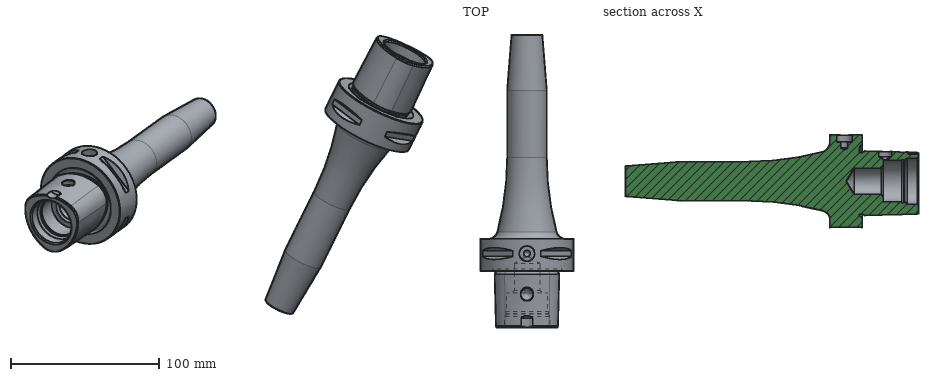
import cadquery as cq
import math


total_length = 198.0
shank_length = 38.0
nose_length = total_length - shank_length

flange_radius = 31.5
flange_length = 22.0
flange_chamfer = 0.4

tip_radius = 10.5
tip_chamfer = 0.4
tip_length = 37.6
neck_radius = 13.5
neck_length = 45.3
flare_end_radius = 21.4
flare_fillet = 6.3

polygon_width = 44.0
flat_arc_radius = 30.5
corner_arc_radius = polygon_width - flat_arc_radius
arc_center_offset = 9.9
shank_taper = math.degrees(math.atan(1 / 40))
shank_end_chamfer = (1.2, 0.5)
root_length = 1.8
root_inset = 1.0

relief_radius = 24.2
relief_depth = 1.8

mouth_radius = 16.5
entry_radius = 15.5
entry_chamfer = mouth_radius - entry_radius
entry_depth = 7.7
bore_radius = 13.9
bore_depth = 23.8
groove_radius = 14.5
groove_start = 9.9
groove_end = 11.3
screw_hole_radius = 8.7
screw_hole_chamfer = 1.5
screw_hole_depth = 43.5
drill_half_angle = math.radians(59)

slot_distance = 12.0
slot_floor_width = 3.8
slot_floor_height = 28.0
slot_flank_angle = math.radians(31)
slot_angles = (45, 135, 225, 315)
pilot_radius = 5.1
pilot_depth = 5.0
pilot_hole_radius = 2.2
pilot_hole_depth = 4.0

shank_hole_radius = 4.2
shank_hole_chamfer = 0.4
shank_hole_distance = 22.5
shank_hole_mouth_height = 20.2
shank_hole_floor_height = 16.6
notch_radius = 6.5
notch_floor_height = 18.2
notch_length = 6.5


def drill_tip(radius):
    """Height of the conical end left by a drill."""
    return radius / math.tan(drill_half_angle)


def polar(radius, degrees):
    angle = math.radians(degrees)
    return radius * math.cos(angle), radius * math.sin(angle)


def turned(points):
    """Solid of revolution about Y from (radius, y) points."""
    return cq.Workplane("XY").polyline(points).close().revolve(360, (0, 0, 0), (0, 1, 0))


def drill_from_top(radius, y, floor_z, top_z):
    """Vertical drilled hole with a conical bottom, as a solid to cut."""
    profile = [
        (0, floor_z - drill_tip(radius)),
        (radius, floor_z),
        (radius, top_z),
        (0, top_z),
    ]
    cutter = cq.Workplane("XZ").polyline(profile).close().revolve(360, (0, 0, 0), (0, 1, 0))
    return cutter.translate((0, y, 0))


def nose_and_flange():
    tip_line_y = nose_length - tip_length
    flare_start_y = tip_line_y - neck_length
    body = (
        cq.Workplane("XY")
        .moveTo(0, nose_length)
        .lineTo(tip_radius - tip_chamfer, nose_length)
        .lineTo(tip_radius, nose_length - tip_chamfer)
        .lineTo(neck_radius, tip_line_y)
        .lineTo(neck_radius, flare_start_y)
        .tangentArcPoint((flare_end_radius, flange_length), relative=False)
        .lineTo(flange_radius, flange_length)
        .lineTo(flange_radius, flange_chamfer)
        .lineTo(flange_radius - flange_chamfer, 0)
        .lineTo(0, 0)
        .close()
        .revolve(360, (0, 0, 0), (0, 1, 0))
    )
    flare_edge = cq.selectors.RadiusNthSelector(0)
    corner = body.faces(cq.selectors.BoxSelector(
        (-flange_radius, flange_length - 0.2, -flange_radius),
        (flange_radius, flange_length + 0.2, flange_radius),
    )).edges(flare_edge)
    return corner.fillet(flare_fillet)


def face_relief():
    """Ring cut into the gauge face, with a rounded outer corner."""
    floor = cq.Workplane("XZ").circle(relief_radius).extrude(-relief_depth)
    return floor.faces(">Y").edges().fillet(relief_depth * 0.95)


def polygon_outline(y, inset=0.0):
    """Three-lobed outline at a given Y, one lobe pointing to -Z."""
    flat_radius = flat_arc_radius - inset
    corner_radius = corner_arc_radius - inset
    flat_reach = flat_radius - arc_center_offset
    corner_reach = corner_radius + arc_center_offset

    def joint(flat_angle, side):
        center_x, center_z = polar(arc_center_offset, flat_angle + 180)
        edge_x, edge_z = polar(flat_radius, flat_angle + 30 * side)
        return center_x + edge_x, center_z + edge_z

    outline = cq.Workplane("XZ", origin=(0, y, 0)).moveTo(*joint(90, -1))
    for flat_angle in (90, 210, 330):
        outline = outline.threePointArc(polar(flat_reach, flat_angle), joint(flat_angle, 1))
        outline = outline.threePointArc(
            polar(corner_reach, flat_angle + 60), joint(flat_angle + 120, -1)
        )
    return outline.close()


def shank():
    tapered_length = shank_length - root_length
    body = polygon_outline(-root_length).extrude(tapered_length, taper=shank_taper)
    body = body.faces("<Y").edges().chamfer(*shank_end_chamfer)
    root_taper = math.degrees(math.atan(root_inset / root_length))
    root_total = root_length + relief_depth
    root = polygon_outline(-root_length).extrude(-root_length, taper=root_taper)
    core = polygon_outline(-root_length, root_inset).extrude(-root_total)
    return body.union(root).union(core)


def clamping_bore():
    end_y = -shank_length
    entry_y = end_y + entry_depth
    floor_y = end_y + bore_depth
    hole_y = end_y + screw_hole_depth
    return turned([
        (0, end_y),
        (mouth_radius, end_y),
        (entry_radius, end_y + entry_chamfer),
        (entry_radius, entry_y),
        (bore_radius, entry_y + entry_radius - bore_radius),
        (bore_radius, end_y + groove_start),
        (groove_radius, end_y + groove_start),
        (groove_radius, end_y + groove_end),
        (bore_radius, end_y + groove_end),
        (bore_radius, floor_y),
        (screw_hole_radius + screw_hole_chamfer, floor_y),
        (screw_hole_radius, floor_y + screw_hole_chamfer),
        (screw_hole_radius, hole_y),
        (0, hole_y + drill_tip(screw_hole_radius)),
    ])


def gripper_slot(angle):
    """Straight slot across the flange rim, with sloping flanks."""
    height = flange_radius - slot_floor_height
    half_floor = slot_floor_width / 2
    half_top = half_floor + height * math.tan(slot_flank_angle)
    profile = [
        (slot_distance - half_floor, slot_floor_height),
        (slot_distance + half_floor, slot_floor_height),
        (slot_distance + half_top, flange_radius),
        (slot_distance - half_top, flange_radius),
    ]
    cutter = cq.Workplane("YZ").polyline(profile).close().extrude(flange_radius, both=True)
    return cutter.rotate((0, 0, 0), (0, 1, 0), angle)


def orientation_hole():
    floor_z = flange_radius - pilot_depth
    recess = (
        cq.Workplane("XY", origin=(0, slot_distance, floor_z))
        .circle(pilot_radius)
        .extrude(flange_radius)
    )
    pilot = drill_from_top(
        pilot_hole_radius, slot_distance, floor_z - pilot_hole_depth, flange_radius
    )
    return recess.union(pilot)


def shank_hole():
    y = shank_hole_distance - shank_length
    hole = drill_from_top(shank_hole_radius, y, shank_hole_floor_height, flange_radius)
    countersink = (
        cq.Workplane("XY", origin=(0, y, shank_hole_mouth_height - shank_hole_chamfer))
        .circle(shank_hole_radius)
        .workplane(offset=2 * shank_hole_chamfer)
        .circle(shank_hole_radius + 2 * shank_hole_chamfer)
        .loft()
    )
    return hole.union(countersink)


def end_notch():
    """Groove drilled along the shank from its end, with a conical finish."""
    start_y = -shank_length
    end_y = start_y + notch_length
    cutter = turned([
        (0, start_y),
        (notch_radius, start_y),
        (notch_radius, end_y),
        (0, end_y + notch_radius),
    ])
    return cutter.translate((0, 0, notch_floor_height + notch_radius))


result = nose_and_flange().cut(face_relief()).union(shank()).cut(clamping_bore())
for slot_angle in slot_angles:
    result = result.cut(gripper_slot(slot_angle))
result = result.cut(orientation_hole()).cut(shank_hole()).cut(end_notch())